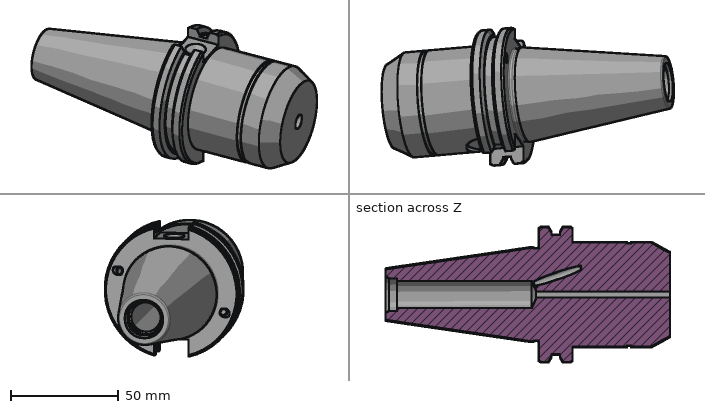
import cadquery as cq
import math

total_length = 132.8
gauge_x = 68.2
flange_start_x = gauge_x + 3.2
flange_width = 15.9
flange_end_x = flange_start_x + flange_width
flange_middle_x = flange_start_x + flange_width / 2
nose_start_x = 124.0

taper_slope = 7 / 48
gauge_radius = 44.5 / 2
small_end_radius = gauge_radius - gauge_x * taper_slope
small_end_rounding = 0.8

neck_radius = 43.5 / 2
neck_start_x = gauge_x + 1.5
neck_fillet = 0.5

flange_radius = 63.5 / 2
flange_chamfer_depth = 0.8
flange_chamfer_width = 1.0
groove_floor_width = 3.8
groove_floor_radius = 28.1
groove_wall_top_radius = 29.2
groove_flank_angle = 30.0
groove_flank_width = (flange_radius - groove_wall_top_radius) * math.tan(math.radians(groove_flank_angle))

body_radius = 49.3 / 2
body_groove_radius = 48.2 / 2
body_groove_start_x = 112.6
body_groove_width = 2.0
nose_end_radius = 19.8

slot_width = 16.3
upper_slot_floor_z = 25.1
lower_slot_floor_z = -22.5
slot_overrun = 1.0
dimple_diameter = 9.5
dimple_point_angle = 118.0

coolant_clock_angle = 20.0
coolant_diameter = 3.2
meeting_radius = 13.3
flange_port_radius = 27.0
flange_port_tilt = 35.0
flange_port_mouth_diameter = 4.0
flange_port_mouth_depth = 1.3
funnel_port_radius = 5.3
funnel_port_tilt = 20.0
meeting_x = flange_start_x + (flange_port_radius - meeting_radius) / math.tan(math.radians(flange_port_tilt))
funnel_port_x = meeting_x - (meeting_radius - funnel_port_radius) / math.tan(math.radians(funnel_port_tilt))

mouth_diameter = 18.2
mouth_chamfer = 1.6
counterbore_diameter = 16.3
counterbore_depth = 5.3
bore_diameter = 14.0
through_diameter = 6.9
funnel_angle = 118.0
funnel_slope = math.tan(math.radians(funnel_angle / 2))
funnel_start_x = funnel_port_x - (bore_diameter / 2 - funnel_port_radius) / funnel_slope
funnel_end_x = funnel_start_x + (bore_diameter - through_diameter) / 2 / funnel_slope


def revolve_about_x(points):
    """Solid of revolution from (x, radius) points, closed along the X axis."""
    return cq.Workplane("XY").polyline(points).close().revolve(360, (0, 0, 0), (1, 0, 0))


def make_shank():
    shank = revolve_about_x([
        (0, 0),
        (0, small_end_radius),
        (gauge_x, gauge_radius),
        (neck_start_x, neck_radius),
        (flange_start_x, neck_radius),
        (flange_start_x, 0),
    ])
    return shank.faces("<X").edges().fillet(small_end_rounding)


def make_neck_fillet():
    """Disc whose concave rim blends the neck into the front face of the flange."""
    arc_reach = neck_fillet * (1 - math.sqrt(0.5))
    return (
        cq.Workplane("XY")
        .moveTo(flange_start_x, neck_radius + neck_fillet)
        .threePointArc(
            (flange_start_x - arc_reach, neck_radius + arc_reach),
            (flange_start_x - neck_fillet, neck_radius),
        )
        .lineTo(flange_start_x - neck_fillet, 0)
        .lineTo(flange_start_x, 0)
        .close()
        .revolve(360, (0, 0, 0), (1, 0, 0))
    )


def make_flange():
    chamfer_radius = flange_radius - flange_chamfer_depth
    half_profile = [
        (flange_width / 2, chamfer_radius),
        (flange_width / 2 - flange_chamfer_width, flange_radius),
        (groove_floor_width / 2 + groove_flank_width, flange_radius),
        (groove_floor_width / 2, groove_wall_top_radius),
        (groove_floor_width / 2, groove_floor_radius),
    ]
    front_half = [(flange_middle_x - offset, radius) for offset, radius in half_profile]
    back_half = [(flange_middle_x + offset, radius) for offset, radius in reversed(half_profile)]
    return revolve_about_x([(flange_start_x, 0)] + front_half + back_half + [(flange_end_x, 0)])


def make_body():
    body_groove_end_x = body_groove_start_x + body_groove_width
    return revolve_about_x([
        (flange_middle_x, 0),
        (flange_middle_x, body_radius),
        (body_groove_start_x, body_radius),
        (body_groove_start_x, body_groove_radius),
        (body_groove_end_x, body_groove_radius),
        (body_groove_end_x, body_radius),
        (nose_start_x, body_radius),
        (total_length, nose_end_radius),
        (total_length, 0),
    ])


def make_drive_slot(floor_z):
    """Milled slot across the flange with a round runout behind it."""
    depth = math.copysign(flange_radius, floor_z)
    length = flange_width + slot_overrun
    straight = (
        cq.Workplane("XY", origin=(flange_start_x + length / 2, 0, floor_z))
        .rect(length, slot_width)
        .extrude(depth)
    )
    runout = (
        cq.Workplane("XY", origin=(flange_start_x + length, 0, floor_z))
        .circle(slot_width / 2)
        .extrude(depth)
    )
    return straight.union(runout)


def make_dimple():
    radius = dimple_diameter / 2
    depth = radius / math.tan(math.radians(dimple_point_angle / 2))
    cone = cq.Solid.makeCone(
        radius, 0, depth, cq.Vector(flange_middle_x, 0, upper_slot_floor_z), cq.Vector(0, 0, -1)
    )
    return cq.Workplane(obj=cone)


def make_bore():
    return revolve_about_x([
        (0, 0),
        (0, mouth_diameter / 2),
        (mouth_chamfer, counterbore_diameter / 2),
        (counterbore_depth, counterbore_diameter / 2),
        (counterbore_depth, bore_diameter / 2),
        (funnel_start_x, bore_diameter / 2),
        (funnel_end_x, through_diameter / 2),
        (total_length, through_diameter / 2),
        (total_length, 0),
    ])


def make_drill(start, direction, length, diameter, lead_in):
    """Cylinder of the given length from start, lengthened backwards by lead_in."""
    return cq.Workplane(
        obj=cq.Solid.makeCylinder(diameter / 2, length + lead_in, start - direction * lead_in, direction)
    )


def make_coolant_passage(clock_angle):
    """Pair of meeting drillings in the half plane at the given angle from +Y."""
    meeting_point = cq.Vector(meeting_x, meeting_radius, 0)
    flange_port = cq.Vector(flange_start_x, flange_port_radius, 0)
    inward = meeting_point - flange_port
    funnel_port = cq.Vector(funnel_port_x, funnel_port_radius, 0)
    outward = meeting_point - funnel_port

    inward_drill = make_drill(flange_port, inward.normalized(), inward.Length, coolant_diameter, 0)
    mouth = make_drill(
        flange_port,
        inward.normalized(),
        flange_port_mouth_depth,
        flange_port_mouth_diameter,
        flange_port_mouth_diameter,
    )
    outward_drill = make_drill(
        funnel_port, outward.normalized(), outward.Length, coolant_diameter, coolant_diameter
    )
    passage = inward_drill.union(mouth).union(outward_drill)
    return passage.rotate((0, 0, 0), (1, 0, 0), clock_angle)


result = make_shank().union(make_neck_fillet()).union(make_flange()).union(make_body())
for floor_z in (upper_slot_floor_z, lower_slot_floor_z):
    result = result.cut(make_drive_slot(floor_z))
result = result.cut(make_dimple()).cut(make_bore())
for half_turn in (0, 180):
    result = result.cut(make_coolant_passage(coolant_clock_angle + half_turn))